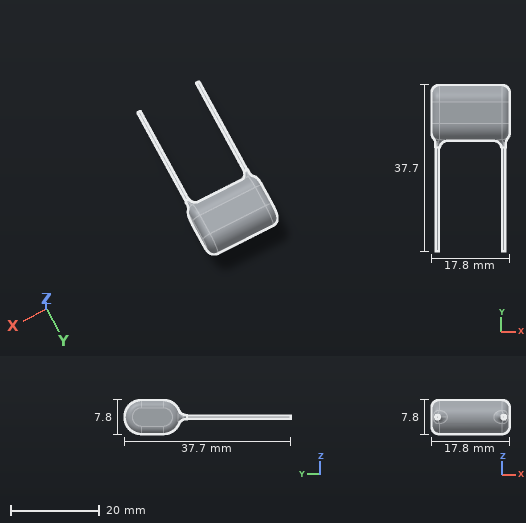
import cadquery as cq

total_length = 37.7
case_width = 17.8
case_depth = 12.7
case_height = 7.8
case_edge_radius = 1.8

lead_pitch = 15.0
lead_diameter = 0.8
collar_diameter = 1.0
collar_length = 1.5
collar_fillet = 1.75

case_front_y = -case_depth / 2
collar_end_y = case_front_y - collar_length
lead_length = total_length - case_depth - collar_length
lead_positions = [-lead_pitch / 2, lead_pitch / 2]


def rod_along_y(x, start_y, diameter, length):
    """Round rod that runs from start_y towards -Y."""
    return (
        cq.Workplane("XZ", origin=(x, start_y, 0))
        .circle(diameter / 2)
        .extrude(length)
    )


def make_case():
    """Obround case with rounded end rims and a flared collar for each lead."""
    case = (
        cq.Workplane("YZ")
        .slot2D(case_depth, case_height)
        .extrude(case_width / 2, both=True)
        .faces("<X or >X")
        .edges()
        .fillet(case_edge_radius)
    )
    for x in lead_positions:
        collar = rod_along_y(x, 0, collar_diameter, collar_fillet + case_depth)
        case = case.union(collar)

    case = case.edges("%BSPLINE").fillet(collar_fillet)

    trim = cq.Workplane("XZ", origin=(0, collar_end_y, 0)).rect(case_width, case_height).extrude(case_depth)
    return case.cut(trim)


def make_lead(x):
    """Straight wire lead that starts at the end face of its collar."""
    return rod_along_y(x, collar_end_y, lead_diameter, lead_length)


case = make_case()
leads = [make_lead(x) for x in lead_positions]

result = cq.Compound.makeCompound([case.val(), *[lead.val() for lead in leads]])